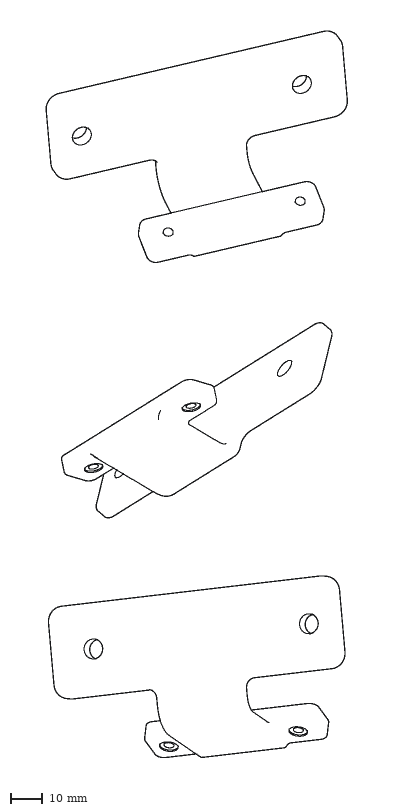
import cadquery as cq
import math

sheet_thickness = 5.0
lean_angle = 13.3
bend_inner_radius = 5.0
bend_outer_radius = bend_inner_radius + sheet_thickness
bend_x = 17.7
arm_width = 30.0
neck_length = 5.4

plate_width = 100.0
plate_height = 30.0
plate_corner_radius = 5.0
neck_radius = 3.0
plate_hole_diameter = 6.4
plate_hole_spacing = 75.0
plate_hole_shift = -2.5

pad_angle = 15.0
pad_length = 14.0
pad_width = 60.0
pad_thickness = 6.0
pad_corner_radius = 3.0
pad_tip_x = 46.9
pad_tip_z = 7.1
pad_hole_diameter = 3.2
pad_hole_spacing = 45.0
pad_hole_shift = 0.75
recess_diameter = 6.0
recess_depth = 0.5

edge_radius = 1.0
pad_top_radius = 0.5
joint_radius = 1.5

tolerance = 0.01

lean = math.radians(lean_angle)
plate_plane = cq.Plane(
    origin=(
        bend_x - bend_outer_radius * math.cos(lean),
        0,
        bend_outer_radius - bend_outer_radius * math.sin(lean),
    ),
    xDir=(0, -1, 0),
    normal=(-math.cos(lean), 0, -math.sin(lean)),
)

tilt = math.radians(pad_angle)
pad_plane = cq.Plane(
    origin=(pad_tip_x, 0, pad_tip_z),
    xDir=(math.cos(tilt), 0, -math.sin(tilt)),
    normal=(math.sin(tilt), 0, math.cos(tilt)),
)


def lower_front_corner_x():
    """Where the pad's front plane reaches the underside of the arm."""
    return pad_tip_x - pad_tip_z * math.tan(tilt)


def make_arm():
    """Flat arm and bend; the front end lies in the plane of the pad's front face."""
    def bend_point(radius, angle):
        return (bend_x - radius * math.cos(angle), bend_outer_radius - radius * math.sin(angle))

    middle = (lean + math.pi / 2) / 2
    front_x = lower_front_corner_x()
    return (
        cq.Workplane("XZ")
        .moveTo(front_x, 0)
        .lineTo(bend_x, 0)
        .threePointArc(bend_point(bend_outer_radius, middle), bend_point(bend_outer_radius, lean))
        .lineTo(*bend_point(bend_inner_radius, lean))
        .threePointArc(bend_point(bend_inner_radius, middle), (bend_x, sheet_thickness))
        .lineTo(front_x + sheet_thickness * math.tan(tilt), sheet_thickness)
        .close()
        .extrude(arm_width / 2, both=True)
    )


def make_rear_plate():
    """Wide plate with rounded corners on a narrow neck."""
    across = cq.selectors.ParallelDirSelector(plate_plane.zDir)
    panel = (
        cq.Workplane(plate_plane)
        .center(0, neck_length + plate_height / 2)
        .rect(plate_width, plate_height)
        .extrude(-sheet_thickness)
        .edges(across)
        .fillet(plate_corner_radius)
    )
    neck = (
        cq.Workplane(plate_plane)
        .center(0, neck_length / 2)
        .rect(arm_width, neck_length)
        .extrude(-sheet_thickness)
    )
    inside_corners = cq.selectors.BoxSelector(
        plate_plane.toWorldCoords((-arm_width, neck_length - edge_radius, edge_radius)),
        plate_plane.toWorldCoords((arm_width, neck_length + edge_radius, -sheet_thickness - edge_radius)),
    )
    return panel.union(neck).edges(inside_corners).edges(across).fillet(neck_radius)


def round_sheet_outline(sheet):
    """Round the outline of both sheet faces, leaving the bend seams and the front end sharp."""
    def is_outline(edge):
        center = edge.Center()
        is_seam = edge.geomType() == "LINE" and abs(center.y) < tolerance and center.z < bend_outer_radius
        crosses_sheet = edge.geomType() == "LINE" and abs(edge.Length() - sheet_thickness) < tolerance
        is_front = center.x > lower_front_corner_x() - edge_radius
        return not (is_seam or crosses_sheet or is_front)

    outline = [edge for edge in sheet.edges().vals() if is_outline(edge)]
    return sheet.newObject(outline).fillet(edge_radius)


def make_pad():
    """Tilted pad with rounded corners and rounded upper and lower rims."""
    upper_face = cq.selectors.DirectionMinMaxSelector(pad_plane.zDir, True)
    lower_face = cq.selectors.DirectionMinMaxSelector(pad_plane.zDir, False)
    return (
        cq.Workplane(pad_plane)
        .center(-pad_length / 2, 0)
        .rect(pad_length, pad_width)
        .extrude(-pad_thickness)
        .edges(cq.selectors.ParallelDirSelector(pad_plane.zDir))
        .fillet(pad_corner_radius)
        .faces(lower_face)
        .edges()
        .fillet(edge_radius)
        .faces(upper_face)
        .edges()
        .fillet(pad_top_radius)
    )


def fillet_joint(body):
    """Blend the arm's top and sides into the pad, up to the front face."""
    joint_start_x = pad_tip_x - pad_length - pad_thickness * math.sin(tilt)
    joint_end_x = lower_front_corner_x() - edge_radius

    def is_joint(edge):
        box = edge.BoundingBox()
        beside_arm = max(-box.ymin, box.ymax) < arm_width / 2 + tolerance
        below_arm_top = box.zmax < sheet_thickness + pad_top_radius
        lengthwise = box.xmin > joint_start_x and edge.Center().x < joint_end_x
        return beside_arm and below_arm_top and lengthwise

    joint = [edge for edge in body.edges().vals() if is_joint(edge)]
    return body.newObject(joint).fillet(joint_radius)


def make_front_rounding_cutter():
    """Sliver that rounds the lower front corner of the arm."""
    turn = math.pi / 2 - tilt
    corner_x = lower_front_corner_x()
    setback = edge_radius * math.tan(turn / 2)
    arc_x = corner_x - setback

    def arc_point(angle):
        return (arc_x + edge_radius * math.sin(angle), edge_radius * (1 - math.cos(angle)))

    outside_x = corner_x + edge_radius
    return (
        cq.Workplane("XZ")
        .moveTo(arc_x, 0)
        .threePointArc(arc_point(turn / 2), arc_point(turn))
        .lineTo(outside_x, arc_point(turn)[1])
        .lineTo(outside_x, -edge_radius)
        .lineTo(arc_x, -edge_radius)
        .close()
        .extrude(arm_width / 2 + joint_radius, both=True)
    )


def make_plate_holes():
    """Through holes at the rear plate's mid-height, off centre along Y."""
    offset = plate_hole_spacing / 2
    return (
        cq.Workplane(plate_plane)
        .center(-plate_hole_shift, neck_length + plate_height / 2)
        .pushPoints([(-offset, 0), (offset, 0)])
        .circle(plate_hole_diameter / 2)
        .extrude(-sheet_thickness)
    )


def make_pad_holes():
    """Through holes in the pad, each with a shallow round recess on the underside."""
    offset = pad_hole_spacing / 2
    centers = [(-pad_length / 2, pad_hole_shift + side * offset) for side in (-1, 1)]
    holes = (
        cq.Workplane(pad_plane)
        .pushPoints(centers)
        .circle(pad_hole_diameter / 2)
        .extrude(-pad_thickness)
    )
    recesses = (
        cq.Workplane(pad_plane)
        .workplane(offset=-pad_thickness)
        .pushPoints(centers)
        .circle(recess_diameter / 2)
        .extrude(recess_depth)
    )
    return holes.union(recesses)


sheet = round_sheet_outline(make_rear_plate().union(make_arm()))
body = fillet_joint(sheet.union(make_pad()))
result = (
    body.cut(make_front_rounding_cutter())
    .cut(make_plate_holes())
    .cut(make_pad_holes())
)